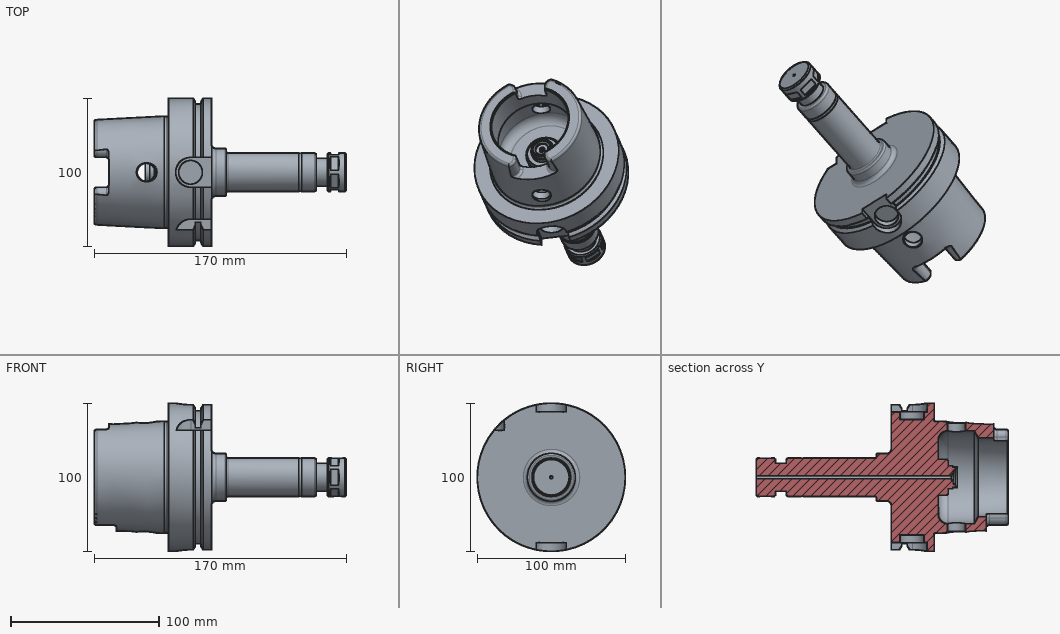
import cadquery as cq
import math

LENGTH = 170.0

TAPER_TIP_RADIUS = 35.5
TAPER_BASE_RADIUS = 37.9
TAPER_END = 47.3
TIP_ROUND = 1.7
RELIEF_START = 48.5
RELIEF_RADIUS = 37.5
RELIEF_FILLET = 1.7
RELIEF_SINK = 0.3

BORE_RADIUS = 26.5
BORE_CHAMFER = 0.8
BORE_STRAIGHT_END = 20.4
CHAMBER_RADIUS = 31.3
SHOULDER_ANGLE = 60.0
CHAMBER_WIDE_END = 40.8
CHAMBER_FILLET = 6.5
BORE_FLOOR = CHAMBER_WIDE_END + CHAMBER_FILLET

COLLAR_RADIUS = 12.2
COLLAR_CHAMFER = 1.2
COLLAR_FACE = 40.5
SPIGOT_RADIUS = 7.8
SPIGOT_FACE = 37.4
SPIGOT_TIP_RADIUS = 7.0
SPIGOT_TIP = 34.3
COUNTERBORE_DIAMETERS = (12.0, 8.8, 3.5)
COUNTERBORE_STEP = 1.4
COOLANT_DIAMETER = 1.7

SLOT_HALF_WIDTH = 10.0
SLOT_FLARE_RADIUS = 5.0
SLOT_FLARE_START = 27.4
SLOT_FLOOR_FILLET = 1.9
UPPER_SLOT_DEPTH = 9.9
LOWER_SLOT_DEPTH = 15.0

CROSS_HOLE_DIAMETER = 12.0
CROSS_HOLE_X = 35.0
CROSS_HOLE_BEVEL_START = 36.4

FLANGE_RADIUS = 50.0
FLANGE_FACE = 50.0
FLANGE_BACK = 79.0
GROOVE_CENTER = 70.0
GROOVE_MOUTH_WIDTH = 6.8
GROOVE_FLOOR_WIDTH = 3.5
GROOVE_SLOPE_DEPTH = 2.7
GROOVE_FLOOR_RADIUS = 46.0

CUTTER_RADIUS = 10.0
CUTTER_X = 65.0
POCKET_FLOOR = 44.0
POCKET_HOLE_DIAMETER = 16.0
POCKET_HOLE_DEPTH = 5.1
NOTCH_OFFSET = 31.6

HUB_RADIUS = 16.2
HUB_END = 89.0
HUB_BASE_FILLET = 2.9
HUB_ROUND = 1.2
BODY_RADIUS = 26.0 / 2
BODY_END = 149.8
BODY_ROUND = 1.5
BODY_FILLET = 0.8
RING_GROOVE_START = 137.9
RING_GROOVE_END = 139.9
RING_GROOVE_DEPTH = 0.2
NECK_RADIUS = 9.5

NUT_RADIUS = BODY_RADIUS
NUT_START = 156.9
NUT_CHAMFER = 1.0
FLAT_COUNT = 6
FLAT_DISTANCE = 11.9
FLAT_START = 159.5
FLAT_END = 164.5
FLAT_FLARE = 0.5


def diagonal_point(center_x, center_r, radius, sign_x, sign_r):
    """Middle of a quarter arc, in the quadrant given by the two signs."""
    offset = radius * math.sin(math.radians(45))
    return (center_x + sign_x * offset, center_r + sign_r * offset)


def turned_body():
    relief_center = RELIEF_RADIUS + RELIEF_FILLET
    relief_bottom = FLANGE_FACE + RELIEF_SINK
    relief_arc_start = relief_bottom - RELIEF_FILLET
    hub_arc_x = FLANGE_BACK + HUB_BASE_FILLET
    hub_arc_r = HUB_RADIUS + HUB_BASE_FILLET
    groove_slope_radius = FLANGE_RADIUS - GROOVE_SLOPE_DEPTH
    groove_mouth = GROOVE_MOUTH_WIDTH / 2
    groove_floor = GROOVE_FLOOR_WIDTH / 2
    ring_groove_radius = BODY_RADIUS - RING_GROOVE_DEPTH
    fillet_center = (HUB_END + BODY_FILLET, BODY_RADIUS + BODY_FILLET)
    tip_round_center = (TIP_ROUND, TAPER_TIP_RADIUS - TIP_ROUND)
    hub_round_center = (HUB_END - HUB_ROUND, HUB_RADIUS - HUB_ROUND)
    body_round_center = (BODY_END - BODY_ROUND, BODY_RADIUS - BODY_ROUND)

    profile = (
        cq.Workplane("XY")
        .moveTo(0, 0)
        .lineTo(0, TAPER_TIP_RADIUS - TIP_ROUND)
        .threePointArc(diagonal_point(*tip_round_center, TIP_ROUND, -1, 1), (TIP_ROUND, TAPER_TIP_RADIUS))
        .lineTo(TAPER_END, TAPER_BASE_RADIUS)
        .lineTo(RELIEF_START, RELIEF_RADIUS)
        .lineTo(relief_arc_start, RELIEF_RADIUS)
        .threePointArc(
            diagonal_point(relief_arc_start, relief_center, RELIEF_FILLET, 1, -1),
            (relief_bottom, relief_center),
        )
        .lineTo(FLANGE_FACE, relief_center)
        .lineTo(FLANGE_FACE, FLANGE_RADIUS)
        .lineTo(GROOVE_CENTER - groove_mouth, FLANGE_RADIUS)
        .lineTo(GROOVE_CENTER - groove_floor, groove_slope_radius)
        .lineTo(GROOVE_CENTER - groove_floor, GROOVE_FLOOR_RADIUS)
        .lineTo(GROOVE_CENTER + groove_floor, GROOVE_FLOOR_RADIUS)
        .lineTo(GROOVE_CENTER + groove_floor, groove_slope_radius)
        .lineTo(GROOVE_CENTER + groove_mouth, FLANGE_RADIUS)
        .lineTo(FLANGE_BACK, FLANGE_RADIUS)
        .lineTo(FLANGE_BACK, hub_arc_r)
        .threePointArc(
            diagonal_point(hub_arc_x, hub_arc_r, HUB_BASE_FILLET, -1, -1),
            (hub_arc_x, HUB_RADIUS),
        )
        .lineTo(HUB_END - HUB_ROUND, HUB_RADIUS)
        .threePointArc(
            diagonal_point(*hub_round_center, HUB_ROUND, 1, 1),
            (HUB_END, HUB_RADIUS - HUB_ROUND),
        )
        .lineTo(HUB_END, BODY_RADIUS + BODY_FILLET)
        .threePointArc(
            diagonal_point(*fillet_center, BODY_FILLET, -1, -1),
            (HUB_END + BODY_FILLET, BODY_RADIUS),
        )
        .lineTo(RING_GROOVE_START, BODY_RADIUS)
        .lineTo(RING_GROOVE_START, ring_groove_radius)
        .lineTo(RING_GROOVE_END, ring_groove_radius)
        .lineTo(RING_GROOVE_END, BODY_RADIUS)
        .lineTo(BODY_END - BODY_ROUND, BODY_RADIUS)
        .threePointArc(
            diagonal_point(*body_round_center, BODY_ROUND, 1, 1),
            (BODY_END, BODY_RADIUS - BODY_ROUND),
        )
        .lineTo(BODY_END, NECK_RADIUS)
        .lineTo(NUT_START, NECK_RADIUS)
        .lineTo(NUT_START, NUT_RADIUS - NUT_CHAMFER)
        .lineTo(NUT_START + NUT_CHAMFER, NUT_RADIUS)
        .lineTo(LENGTH - NUT_CHAMFER, NUT_RADIUS)
        .lineTo(LENGTH, NUT_RADIUS - NUT_CHAMFER)
        .lineTo(LENGTH, 0)
        .close()
    )
    return profile.revolve(360, (0, 0, 0), (1, 0, 0))


def slot_edge_box(x):
    """Corners of a thin box around the middles of a slot's wall edges at one depth."""
    margin = 0.2
    reach_y = FLANGE_RADIUS - margin
    top = SLOT_FLARE_START + SLOT_FLARE_RADIUS + margin
    return (x - margin, -reach_y, margin), (x + margin, reach_y, top)


def slot_cutter(depth, side):
    """Drive slot on the +Z (side = 1) or -Z (side = -1) half, flared at its outer end."""
    outer = FLANGE_RADIUS
    flare_end_y = SLOT_HALF_WIDTH + SLOT_FLARE_RADIUS
    flare_end_z = SLOT_FLARE_START + SLOT_FLARE_RADIUS
    flare_middle = diagonal_point(flare_end_y, SLOT_FLARE_START, SLOT_FLARE_RADIUS, -1, 1)
    cutter = (
        cq.Workplane("YZ")
        .moveTo(-SLOT_HALF_WIDTH, 0)
        .lineTo(-SLOT_HALF_WIDTH, SLOT_FLARE_START)
        .threePointArc((-flare_middle[0], flare_middle[1]), (-flare_end_y, flare_end_z))
        .lineTo(-outer, flare_end_z)
        .lineTo(-outer, outer)
        .lineTo(outer, outer)
        .lineTo(outer, flare_end_z)
        .lineTo(flare_end_y, flare_end_z)
        .threePointArc(flare_middle, (SLOT_HALF_WIDTH, SLOT_FLARE_START))
        .lineTo(SLOT_HALF_WIDTH, 0)
        .close()
        .extrude(depth)
    )
    floor_edges = cutter.faces(">X").edges(cq.selectors.BoxSelector(*slot_edge_box(depth)))
    cutter = floor_edges.fillet(SLOT_FLOOR_FILLET)

    blank = cq.Workplane("YZ").center(0, outer / 2).rect(2 * outer, outer).extrude(2 * depth)
    block = blank.cut(cutter)
    mouth_edges = block.faces("<X").edges(cq.selectors.BoxSelector(*slot_edge_box(0)))
    cutter = blank.cut(mouth_edges.fillet(TIP_ROUND))
    if side < 0:
        cutter = cutter.rotate((0, 0, 0), (1, 0, 0), 180)
    return cutter


def clamping_bore():
    floor_radius = CHAMBER_RADIUS - CHAMBER_FILLET
    shoulder_length = (CHAMBER_RADIUS - BORE_RADIUS) / math.tan(math.radians(SHOULDER_ANGLE))
    return (
        cq.Workplane("XY")
        .moveTo(0, 0)
        .lineTo(0, BORE_RADIUS + BORE_CHAMFER)
        .lineTo(BORE_CHAMFER, BORE_RADIUS)
        .lineTo(BORE_STRAIGHT_END, BORE_RADIUS)
        .lineTo(BORE_STRAIGHT_END + shoulder_length, CHAMBER_RADIUS)
        .lineTo(CHAMBER_WIDE_END, CHAMBER_RADIUS)
        .threePointArc(
            diagonal_point(CHAMBER_WIDE_END, floor_radius, CHAMBER_FILLET, 1, 1),
            (BORE_FLOOR, floor_radius),
        )
        .lineTo(BORE_FLOOR, COLLAR_RADIUS)
        .lineTo(COLLAR_FACE + COLLAR_CHAMFER, COLLAR_RADIUS)
        .lineTo(COLLAR_FACE, COLLAR_RADIUS - COLLAR_CHAMFER)
        .lineTo(COLLAR_FACE, SPIGOT_RADIUS)
        .lineTo(SPIGOT_FACE, SPIGOT_RADIUS)
        .lineTo(SPIGOT_FACE, SPIGOT_TIP_RADIUS)
        .lineTo(SPIGOT_TIP, SPIGOT_TIP_RADIUS)
        .lineTo(SPIGOT_TIP, 0)
        .close()
        .revolve(360, (0, 0, 0), (1, 0, 0))
    )


def coolant_channel():
    channel = cq.Workplane("YZ").circle(COOLANT_DIAMETER / 2).extrude(LENGTH)
    for step, diameter in enumerate(COUNTERBORE_DIAMETERS, start=1):
        depth = SPIGOT_TIP + step * COUNTERBORE_STEP
        channel = channel.union(cq.Workplane("YZ").circle(diameter / 2).extrude(depth))
    return channel


def cross_hole():
    """Radial hole pointing +Z, bevelled at 45 degrees where it leaves the taper."""
    radius = CROSS_HOLE_DIAMETER / 2
    bevel_rise = TAPER_BASE_RADIUS - CROSS_HOLE_BEVEL_START
    return (
        cq.Workplane("XZ", origin=(CROSS_HOLE_X, 0, 0))
        .moveTo(0, BORE_RADIUS)
        .lineTo(radius, BORE_RADIUS)
        .lineTo(radius, CROSS_HOLE_BEVEL_START)
        .lineTo(radius + bevel_rise, TAPER_BASE_RADIUS)
        .lineTo(0, TAPER_BASE_RADIUS)
        .close()
        .revolve(360, (0, 0, 0), (0, 1, 0))
    )


def round_ended_cutter(center_y, floor):
    """Cutter entering from the flange back, its round end centred on CUTTER_X."""
    run = FLANGE_BACK - CUTTER_X
    return (
        cq.Workplane("XY", origin=(CUTTER_X, center_y, floor))
        .moveTo(run, CUTTER_RADIUS)
        .lineTo(0, CUTTER_RADIUS)
        .threePointArc((-CUTTER_RADIUS, 0), (0, -CUTTER_RADIUS))
        .lineTo(run, -CUTTER_RADIUS)
        .close()
        .extrude(FLANGE_RADIUS - floor)
    )


def key_pocket():
    hole = (
        cq.Workplane("XY", origin=(CUTTER_X, 0, POCKET_FLOOR - POCKET_HOLE_DEPTH))
        .circle(POCKET_HOLE_DIAMETER / 2)
        .extrude(POCKET_HOLE_DEPTH)
    )
    return round_ended_cutter(0, POCKET_FLOOR).union(hole)


def nut_flat():
    """Wrench flat facing -Y, with sloping ends."""
    rise = NUT_RADIUS - FLAT_DISTANCE
    return (
        cq.Workplane("XY")
        .moveTo(FLAT_START, -FLAT_DISTANCE)
        .lineTo(FLAT_START - FLAT_FLARE, -FLAT_DISTANCE - rise)
        .lineTo(FLAT_END + FLAT_FLARE, -FLAT_DISTANCE - rise)
        .lineTo(FLAT_END, -FLAT_DISTANCE)
        .close()
        .extrude(NUT_RADIUS, both=True)
    )


body = turned_body()
body = body.cut(clamping_bore())
body = body.cut(slot_cutter(UPPER_SLOT_DEPTH, 1))
body = body.cut(slot_cutter(LOWER_SLOT_DEPTH, -1))
for angle in (0, 180):
    body = body.cut(cross_hole().rotate((0, 0, 0), (1, 0, 0), angle))
body = body.cut(coolant_channel())

pocket = key_pocket()
body = body.cut(pocket)
body = body.cut(pocket.rotate((0, 0, 0), (1, 0, 0), 180))
body = body.cut(round_ended_cutter(-NOTCH_OFFSET - CUTTER_RADIUS, NOTCH_OFFSET))

for index in range(FLAT_COUNT):
    body = body.cut(nut_flat().rotate((0, 0, 0), (1, 0, 0), index * 360 / FLAT_COUNT))

result = body